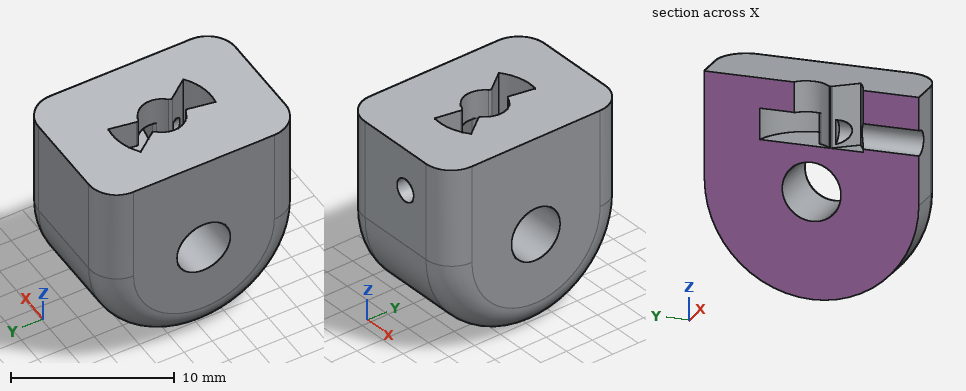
import cadquery as cq
import math

width = 10.0
length = 14.0
height = 14.0
end_radius = length / 2
axis_height = end_radius
edge_radius = 2.0

cross_hole_diameter = 3.8

core_radius = 1.5
wing_radius = 3.5
wing_start_angle = 79.8
wing_end_angle = 127.6
wing_corner_radius = 0.2
keyway_depth = 4.0
lip_thickness = 2.0
key_turn = 90.0

pin_hole_diameter = 1.62
pin_hole_x = 1.0
pin_hole_drop = 3.0


def polar(radius, angle):
    """Point at a radius and an angle in degrees about the keyway centre."""
    return radius * math.cos(math.radians(angle)), radius * math.sin(math.radians(angle))


def make_body():
    profile = (
        cq.Workplane("YZ")
        .moveTo(-end_radius, height)
        .lineTo(-end_radius, axis_height)
        .threePointArc((0, 0), (end_radius, axis_height))
        .lineTo(end_radius, height)
        .close()
    )
    block = profile.extrude(width / 2, both=True)
    return block.faces("<X or >X").edges("not >Z").fillet(edge_radius)


def make_wing(start, end, bottom, top):
    """Wing between two radial walls, at the given angles about the keyway centre."""
    return (
        cq.Workplane("XY")
        .workplane(offset=bottom)
        .lineTo(*polar(wing_radius, start))
        .threePointArc(polar(wing_radius, (start + end) / 2), polar(wing_radius, end))
        .close()
        .extrude(top - bottom)
    )


def make_winged_slot(start, end, bottom, top):
    """Round core with two opposite wings and rounded corners between them."""
    slot = cq.Workplane("XY").workplane(offset=bottom).circle(core_radius).extrude(top - bottom)
    for turn in (0, 180):
        slot = slot.union(make_wing(start + turn, end + turn, bottom, top))
    corner_zone = cq.selectors.BoxSelector(
        (-wing_radius / 2, -wing_radius / 2, bottom),
        (wing_radius / 2, wing_radius / 2, top),
    )
    return slot.edges("|Z").edges(corner_zone).fillet(wing_corner_radius)


def make_keyway():
    lip_bottom = height - lip_thickness
    floor = height - keyway_depth
    entry = make_winged_slot(wing_start_angle, wing_end_angle, lip_bottom, height)
    chamber = make_winged_slot(wing_start_angle - key_turn, wing_end_angle, floor, lip_bottom)
    return entry.union(chamber)


def make_cross_hole():
    return (
        cq.Workplane("YZ")
        .center(0, axis_height)
        .circle(cross_hole_diameter / 2)
        .extrude(width / 2, both=True)
    )


def make_pin_hole():
    return (
        cq.Workplane("XZ", origin=(0, -core_radius, 0))
        .center(pin_hole_x, height - pin_hole_drop)
        .circle(pin_hole_diameter / 2)
        .extrude(length / 2 - core_radius)
    )


result = make_body().cut(make_keyway()).cut(make_cross_hole()).cut(make_pin_hole())